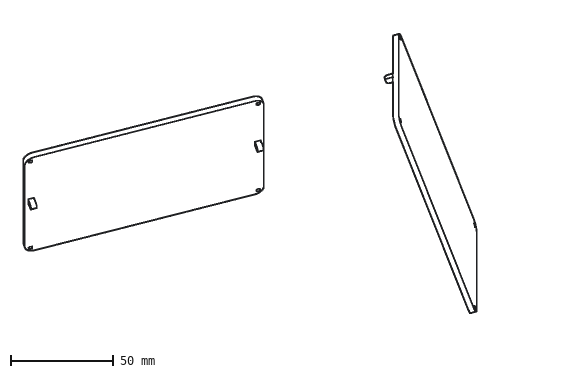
import cadquery as cq

plate_length = 122.8
plate_height = 77.4
plate_thickness = 3.0
corner_radius = 5.0

hole_diameter = 2.0
hole_inset = 3.0

overall_depth = 8.0
peg_width = 3.0
peg_height = 3.3
peg_straight_length = 3.0
nose_bulge = 0.43
peg_inset = 3.2
peg_center_z = 3.3
peg_y = plate_length / 2 - peg_inset


def make_plate():
    """Rounded plate with its back face on X = 0 and a hole in each corner."""
    plate = (
        cq.Workplane("YZ")
        .rect(plate_length, plate_height)
        .extrude(plate_thickness)
        .edges("|X")
        .fillet(corner_radius)
    )
    return (
        plate.faces(">X")
        .workplane(origin=(0, 0, 0))
        .rect(plate_length - 2 * hole_inset, plate_height - 2 * hole_inset, forConstruction=True)
        .vertices()
        .hole(hole_diameter)
    )


def make_peg(center_y):
    """Peg rooted inside the plate, with two bowed flanks meeting in a tip at +X."""
    nose_start_x = plate_thickness + peg_straight_length
    half_height = peg_height / 2
    root_x = plate_thickness / 2
    profile = (
        cq.Workplane("XZ")
        .moveTo(root_x, peg_center_z - half_height)
        .lineTo(nose_start_x, peg_center_z - half_height)
        .sagittaArc((overall_depth, peg_center_z), -nose_bulge)
        .sagittaArc((nose_start_x, peg_center_z + half_height), -nose_bulge)
        .lineTo(root_x, peg_center_z + half_height)
        .close()
    )
    return profile.extrude(peg_width).translate((0, center_y + peg_width / 2, 0))


result = make_plate()
for center_y in (-peg_y, peg_y):
    result = result.union(make_peg(center_y))